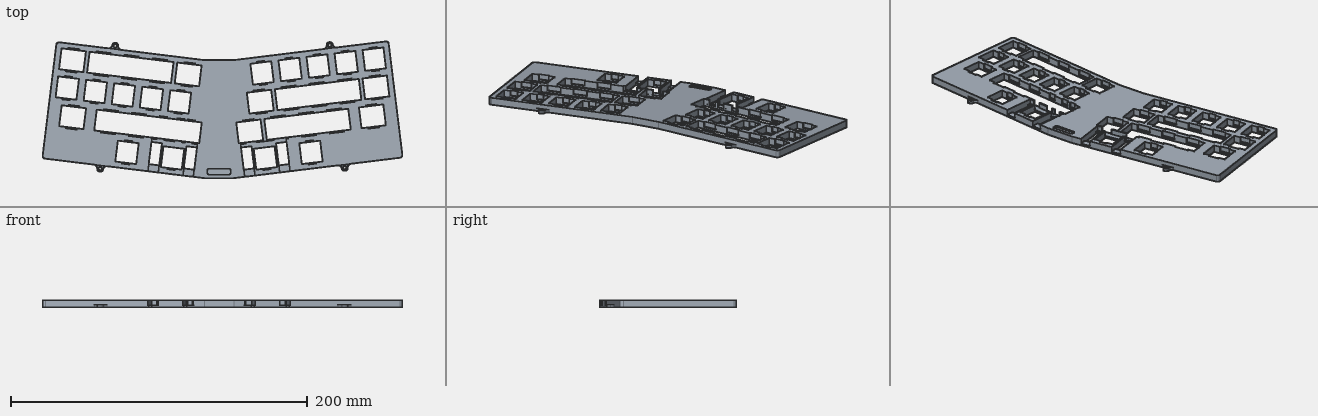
import cadquery as cq
import math

THICKNESS = 5.0
WING_ANGLE = 7.0
PITCH = 19.05
CUTOUT = 14.0
MARGIN = 4.0
CORNER_RADIUS = 2.0
CENTER_FLAT_HALF = 10.1
LEDGE = 1.5

FIRST_COLUMN = 27.1
TOP_ROW = 21.13

NOTCH_WIDTH = 5.0
NOTCH_DEPTH = 1.0

CHANNEL_WIDTH = 7.0
FRAME_WALL = 1.4
REAR_WALL = 0.9
WINDOW_REAR_GAP = 1.9
WINDOW_FRONT_GAP = 1.0

EAR_RADIUS = 2.1
EAR_HOLE = 2.2
EAR_THICKNESS = 2.0
EAR_FILLET = 2.3
EAR_OUT = {-1: 74.7, 1: 79.4}

BADGE_LENGTH = 15.6
BADGE_WIDTH = 4.0
BADGE_Y = -41.65
BADGE_DEPTH = 1.0
BADGE_CORNER = 1.0

SINGLE = (0.0, (0.0,))
NARROW_PAIR = (0.125, (-0.0625, 0.0625))
THREE_WIDE = (2.25, (-1.125, -0.875, -0.125, 0.125, 0.875, 1.125))
FOUR_WIDE = (3.0, (-1.5, -1.125, -0.5, 0.25, 0.5, 1.25, 1.5))

LEFT_ROWS = [
    [(-0.1875, NARROW_PAIR), (1.875, THREE_WIDE), (3.9375, NARROW_PAIR)],
    [(column, SINGLE) for column in range(5)],
    [(1.0, FOUR_WIDE), (3.6875, NARROW_PAIR)],
    [(0.0, SINGLE), (1.625, SINGLE)],
]
RIGHT_ROWS = [
    [(column + 0.25, SINGLE) for column in range(5)],
    [(0.0625, NARROW_PAIR), (2.125, THREE_WIDE), (4.1875, NARROW_PAIR)],
    [(-0.4375, NARROW_PAIR), (1.625, THREE_WIDE), (3.9375, NARROW_PAIR)],
    [(0.0, SINGLE), (1.625, SINGLE)],
]
ROWS = {-1: LEFT_ROWS, 1: RIGHT_ROWS}

BOTTOM_ROW = TOP_ROW - 3 * PITCH
REAR_RIM = TOP_ROW + CUTOUT / 2 + MARGIN
FRONT_RIM = BOTTOM_ROW - CUTOUT / 2 - MARGIN


def outer_rim(side):
    """Distance of a wing's end, one margin beyond the last opening of the rear row."""
    columns_out, (growth, _) = ROWS[side][0][-1]
    return FIRST_COLUMN + (columns_out + growth / 2) * PITCH + CUTOUT / 2 + MARGIN


def sweep_point(side, out, height):
    """Plan position of a wing point; side is -1 for left and +1 for right."""
    angle = math.radians(WING_ANGLE)
    x = out * math.cos(angle) - height * math.sin(angle)
    y = out * math.sin(angle) + height * math.cos(angle)
    return side * x, y


def sweep_solid(side, shape):
    """Turn a shape built in the un-swept wing frame into its place."""
    return shape.rotate((0, 0, 0), (0, 0, 1), side * WING_ANGLE)


def block(side, out_range, height_range, z_range):
    """Box in the un-swept frame of one wing, given by its limits."""
    out_near, out_far = out_range
    low, high = height_range
    bottom, top = z_range
    box = cq.Workplane("XY").box(out_far - out_near, high - low, top - bottom)
    return box.translate((side * (out_near + out_far) / 2, (low + high) / 2, (bottom + top) / 2))


def rim_bend_y(rim):
    """Y of the bend where a swept rim meets the straight centre rim."""
    angle = math.radians(WING_ANGLE)
    return (rim + CENTER_FLAT_HALF * math.sin(angle)) / math.cos(angle)


def make_plate():
    rear_y = rim_bend_y(REAR_RIM)
    front_y = rim_bend_y(FRONT_RIM)
    outer_corners = [
        sweep_point(1, outer_rim(1), FRONT_RIM),
        sweep_point(1, outer_rim(1), REAR_RIM),
        sweep_point(-1, outer_rim(-1), REAR_RIM),
        sweep_point(-1, outer_rim(-1), FRONT_RIM),
    ]
    outline = [
        (CENTER_FLAT_HALF, front_y),
        outer_corners[0],
        outer_corners[1],
        (CENTER_FLAT_HALF, rear_y),
        (-CENTER_FLAT_HALF, rear_y),
        outer_corners[2],
        outer_corners[3],
        (-CENTER_FLAT_HALF, front_y),
    ]
    plate = cq.Workplane("XY").polyline(outline).close().extrude(THICKNESS)
    for corner in outer_corners:
        edge = plate.edges(cq.selectors.NearestToPointSelector((*corner, THICKNESS / 2)))
        plate = edge.fillet(CORNER_RADIUS)
    return plate


def key_opening(side, center_out, row, opening):
    """Cutter for one opening with its clip notches above the ledge."""
    growth, key_offsets = opening
    half_length = (CUTOUT + growth * PITCH) / 2
    half_width = CUTOUT / 2
    cutter = block(
        side,
        (center_out - half_length, center_out + half_length),
        (row - half_width, row + half_width),
        (0, THICKNESS),
    )
    reach = half_width + NOTCH_DEPTH
    for offset in key_offsets:
        key_out = center_out + offset * PITCH
        notch = block(
            side,
            (key_out - NOTCH_WIDTH / 2, key_out + NOTCH_WIDTH / 2),
            (row - reach, row + reach),
            (LEDGE, THICKNESS),
        )
        cutter = cutter.union(notch)
    return cutter


def flexible_key_relief(side):
    """Cutters freeing the innermost bottom-row key: rear recess, side channels, windows."""
    opening_rear = BOTTOM_ROW + CUTOUT / 2
    opening_front = BOTTOM_ROW - CUTOUT / 2
    recess_rear = BOTTOM_ROW + PITCH - CUTOUT / 2 - REAR_WALL
    frame_half = CUTOUT / 2 + FRAME_WALL
    relief_half = frame_half + CHANNEL_WIDTH
    relief = block(
        side,
        (FIRST_COLUMN - relief_half, FIRST_COLUMN + relief_half),
        (opening_rear, recess_rear),
        (LEDGE, THICKNESS),
    )
    for near in (FIRST_COLUMN - relief_half, FIRST_COLUMN + frame_half):
        channel_range = (near, near + CHANNEL_WIDTH)
        channel = block(side, channel_range, (FRONT_RIM, recess_rear), (LEDGE, THICKNESS))
        window_range = (opening_front + WINDOW_FRONT_GAP, opening_rear + WINDOW_REAR_GAP)
        window = block(side, channel_range, window_range, (0, THICKNESS))
        relief = relief.union(channel).union(window)
    return relief


def mounting_ear(side, rim, outward):
    """Drilled eye touching the rim, blended into it by two concave arcs."""
    blend_half = 2 * math.sqrt(EAR_RADIUS * EAR_FILLET)
    share = EAR_RADIUS / (EAR_RADIUS + EAR_FILLET)
    touch_x = blend_half * share
    touch_y = EAR_RADIUS + (EAR_FILLET - EAR_RADIUS) * share
    start_angle = -math.pi / 2
    end_angle = math.atan2(touch_y - EAR_FILLET, touch_x - blend_half)
    middle_angle = (start_angle + end_angle) / 2
    middle_x = blend_half + EAR_FILLET * math.cos(middle_angle)
    middle_y = EAR_FILLET + EAR_FILLET * math.sin(middle_angle)
    root = -MARGIN / 2
    ear = (
        cq.Workplane("XY")
        .moveTo(-blend_half, root)
        .lineTo(-blend_half, 0)
        .threePointArc((-middle_x, middle_y), (-touch_x, touch_y))
        .threePointArc((0, 2 * EAR_RADIUS), (touch_x, touch_y))
        .threePointArc((middle_x, middle_y), (blend_half, 0))
        .lineTo(blend_half, root)
        .close()
        .extrude(EAR_THICKNESS)
    )
    hole = cq.Workplane("XY").center(0, EAR_RADIUS).circle(EAR_HOLE / 2).extrude(EAR_THICKNESS)
    ear = ear.cut(hole)
    if outward < 0:
        ear = ear.mirror("XZ")
    return sweep_solid(side, ear.translate((side * EAR_OUT[side], rim, 0)))


def badge_pocket():
    pocket = cq.Workplane("XY").box(BADGE_LENGTH, BADGE_WIDTH, BADGE_DEPTH)
    pocket = pocket.edges("|Z").fillet(BADGE_CORNER)
    return pocket.translate((0, BADGE_Y, THICKNESS - BADGE_DEPTH / 2))


result = make_plate()
for wing in (-1, 1):
    result = result.union(mounting_ear(wing, REAR_RIM, 1))
    result = result.union(mounting_ear(wing, FRONT_RIM, -1))
    result = result.cut(sweep_solid(wing, flexible_key_relief(wing)))
    for row_index, row_keys in enumerate(ROWS[wing]):
        row_height = TOP_ROW - row_index * PITCH
        for columns_out, opening_type in row_keys:
            position = FIRST_COLUMN + columns_out * PITCH
            cutter = key_opening(wing, position, row_height, opening_type)
            result = result.cut(sweep_solid(wing, cutter))
result = result.cut(badge_pocket())